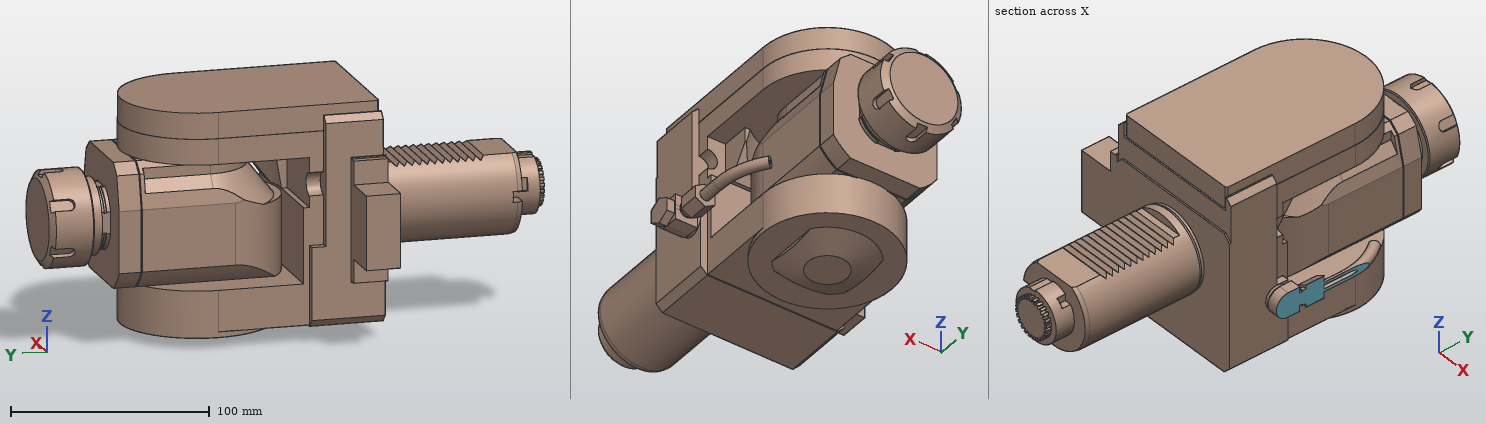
import cadquery as cq
import math


base_half_width = 44.3
base_chamfer = 4.0
base_bottom = -55.0
base_top = 54.4
cheek_chamfer = 3.4
step_z = -13.0
lower_base_y = 38.5
upper_base_y = 31.1
flange_top = 32.2
flange_thickness = 1.0

pivot_y = 86.0
fork_radius = 40.0
cap_top = 59.8
cap_bottom = 46.2
cap_front_y = 1.9
cap_inset = 0.2
cap_edge_chamfer = 1.0
arm_gap_half = 32.8
lower_arm_bottom = -54.4
disc_bottom = -57.4

wall_y = 41.5
rib_width = 29.0
rib_y = 55.5
rib_root_y = 43.6
hollow_top_radius = 40.0
hollow_low_radius = 44.5
channel_radius = 6.0
channel_z = 18.8

dome_bottom = -63.2
dome_radius = 28.0
dome_flat_radius = 12.0
dome_half_width = 22.5

spacer_x = -45.3
plate_x = -49.3
block_x = -72.0
plate_depth = 18.0
plate_half_height = 31.8
spacer_half_height = 32.5
block_half_height = 19.4

head_front_y = 135.8
head_half_width = 32.1
head_rear_y = 75.0
head_plate_y = 124.2
head_step_y = 121.5
head_seam_width = 0.5
head_seam_depth = 0.3
facet_low_z = 9.85
facet_top_x = 27.8
facet_top_z = 27.4
head_corner_radius = 39.2
hub_radius = 25.2
hub_shoulder_z = 24.0
skirt_radius = 38.8
ledge_z = 6.8

neck_radius = 17.5
neck_groove_radius = 16.8
neck_groove_y = 137.8
neck_flat_height = 16.0
neck_groove_width = 1.2
neck_y = 141.0
neck_flat_width = 11.4
neck_flat_count = 4
nut_collar_radius = 20.0
nut_back_y = 146.5
nut_front_y = 169.21
nut_radius = 25.0
nut_back_chamfer = 0.6
nut_nose_radius = 21.0
nut_nose_length = 2.6
nut_slot_count = 6
nut_slot_width = 6.0
nut_slot_length = 13.3
nut_slot_depth = 2.5

shank_radius = 25.0
shank_relief_radius = 48.7 / 2
shank_relief_end = 1.6
shank_full_start = 3.1
shank_end = 77.6
shank_end_chamfer = 2.6
flat_z = 20.2
flat_start = 8.0
tooth_root_z = 18.2
tooth_pitch = 4.0
tooth_count = 12
first_tooth = 11.9
key_half_width = 2.8
key_depth = 5.0

drive_radius = 15.8
drive_end = 89.4
drive_notch_depth = 1.5
drive_notch_length = 5.4
drive_side_notch_height = 9.0
drive_groove_left = -5.7
drive_groove_right = -0.8
drive_groove_depth = 1.0
drive_top_notch_x = 11.0
drive_top_notch_width = 4.6
spline_radius = 12.2
spline_root_radius = 10.7
spline_end = 92.7
spline_count = 24
spline_gap_width = 1.5

elbow_y = 31.0
elbow_z = -20.3
elbow_neck_diameter = 14.5
elbow_diameter = 15.6
elbow_neck_x = 46.5
elbow_end_x = 60.0
elbow_hex_x = 64.7
elbow_hex_flats = 13.6
elbow_top_y = 38.7
nozzle_x = 53.2
nozzle_collar_diameter = 9.8
nozzle_collar_length = 2.4
nozzle_neck_diameter = 8.2
nut_start_y = 42.7
nut_end_y = 54.7
pipe_nut_flats = 12.2
pipe_diameter = 6.37
pipe_bore = 2.1
pipe_straight_end_y = 66.6
pipe_bend_radius = 47.0
pipe_bend_angle = 39.0

overlap = 1.0


def box(x0, x1, y0, y1, z0, z1):
    """Axis-aligned box from its limits."""
    return cq.Workplane("XY").box(x1 - x0, y1 - y0, z1 - z0, centered=False).translate((x0, y0, z0))


def xz_plane(y, x=0.0, z=0.0):
    """Workplane facing +Y, centred on (x, y, z); its local axes are X and -Z."""
    return cq.Workplane(cq.Plane(origin=(x, y, z), xDir=(1, 0, 0), normal=(0, 1, 0)))


def rod_y(radius, y0, y1, x=0.0, z=0.0):
    """Cylinder parallel to Y."""
    return xz_plane(y0, x, z).circle(radius).extrude(y1 - y0)


def rod_x(radius, x0, x1, y, z):
    """Cylinder parallel to X."""
    return cq.Workplane("YZ", origin=(x0, y, z)).circle(radius).extrude(x1 - x0)


def round_plate(front_y, z0, z1, radius=fork_radius):
    """Fork arm: straight from front_y to the pivot, then a half circle about the pivot."""
    return (
        cq.Workplane("XY", origin=(0, 0, z0))
        .moveTo(-radius, front_y)
        .lineTo(-radius, pivot_y)
        .threePointArc((0, pivot_y + radius), (radius, pivot_y))
        .lineTo(radius, front_y)
        .close()
        .extrude(z1 - z0)
    )


def make_base():
    """Base block with its lower step, cheeks on both sides of the cap seat and the flange."""
    lower = box(-base_half_width, base_half_width, flange_thickness, lower_base_y, base_bottom, step_z)
    lower = lower.edges("|Y and <Z").chamfer(base_chamfer)
    upper = box(-base_half_width, base_half_width, flange_thickness, upper_base_y, step_z, base_top)
    upper = upper.edges("|Y and >Z").chamfer(cheek_chamfer)
    cap_seat = box(-fork_radius, fork_radius, flange_thickness, upper_base_y, cap_bottom, base_top)
    upper = upper.cut(cap_seat)
    flange = box(-base_half_width, base_half_width, 0, flange_thickness, base_bottom, flange_top)
    flange = flange.edges("|Y").chamfer(base_chamfer)
    return lower.union(upper).union(flange)


def make_fork():
    """Both fork arms, the cap, the web joining them, and the bearing disc and dome below."""
    upper_arm = round_plate(flange_thickness, arm_gap_half, cap_bottom)
    cap = round_plate(cap_front_y, cap_bottom, cap_top, fork_radius - cap_inset)
    cap = cap.edges("|Z and <Y").chamfer(cap_edge_chamfer)
    lower_arm = round_plate(upper_base_y, lower_arm_bottom, -arm_gap_half)
    disc_plane = cq.Plane(origin=(0, pivot_y, disc_bottom), xDir=(-1, 0, 0), normal=(0, 0, 1))
    disc = cq.Workplane(disc_plane).circle(fork_radius).extrude(lower_arm_bottom - disc_bottom)
    return upper_arm.union(cap).union(lower_arm).union(disc).union(make_dome()).union(make_web())


def make_web():
    """Web between the arms: a low wall, a slab with round side channels and a hollowed rib."""
    slab = box(-fork_radius, fork_radius, upper_base_y, lower_base_y, -arm_gap_half, arm_gap_half)
    for side in (-1, 1):
        channel = rod_y(channel_radius, upper_base_y, lower_base_y, side * fork_radius, channel_z)
        slab = slab.cut(channel)
    wall = box(-fork_radius, fork_radius, lower_base_y, wall_y, -arm_gap_half, ledge_z)
    rib = (
        cq.Workplane("YZ")
        .polyline([
            (lower_base_y, arm_gap_half), (rib_y, arm_gap_half), (rib_y, hub_shoulder_z),
            (rib_root_y, ledge_z), (lower_base_y, ledge_z),
        ])
        .close()
        .extrude(rib_width)
    )
    hollow = (
        cq.Workplane("XZ", origin=(0, pivot_y, 0))
        .polyline([
            (0, ledge_z), (hollow_low_radius, ledge_z),
            (hollow_top_radius, arm_gap_half), (0, arm_gap_half),
        ])
        .close()
        .revolve(360, (0, 0, 0), (0, 1, 0))
    )
    return slab.union(wall).union(rib.cut(hollow))


def make_dome():
    """Shallow cone under the bearing disc, trimmed flat on both sides and at the front."""
    cone = (
        cq.Workplane("XZ", origin=(0, pivot_y, 0))
        .polyline([
            (0, disc_bottom), (dome_radius, disc_bottom),
            (dome_flat_radius, dome_bottom), (0, dome_bottom),
        ])
        .close()
        .revolve(360, (0, 0, 0), (0, 1, 0))
    )
    trim = box(
        -dome_half_width, dome_half_width,
        pivot_y - dome_half_width, pivot_y + dome_radius,
        dome_bottom, disc_bottom,
    )
    return cone.intersect(trim)


def make_key_block():
    """Locating block with its backing plate and thin spacer on the -X side."""
    spacer = box(spacer_x, -base_half_width, 0, plate_depth, -spacer_half_height, spacer_half_height)
    plate = box(plate_x, spacer_x, 0, plate_depth, -plate_half_height, plate_half_height)
    block = box(block_x, plate_x, 0, plate_depth, -block_half_height, block_half_height)
    return spacer.union(plate).union(block)


def make_head_relief():
    """Material removed from the top of the head: a stepped round hub about the pivot that
    runs straight forward to the head plate."""
    reach = 2 * head_half_width
    section = [
        (hub_radius, arm_gap_half), (hub_radius, hub_shoulder_z), (skirt_radius, ledge_z),
        (reach, ledge_z), (reach, arm_gap_half),
    ]
    relief = (
        cq.Workplane("XZ", origin=(0, pivot_y, 0))
        .polyline(section)
        .close()
        .revolve(360, (0, 0, 0), (0, 1, 0))
        .intersect(box(-reach, reach, pivot_y - reach, pivot_y, ledge_z, arm_gap_half))
    )
    straight_length = head_step_y - pivot_y
    for side in (-1, 1):
        run = (
            cq.Workplane("XZ", origin=(0, head_step_y, 0))
            .polyline([(side * x, z) for x, z in section])
            .close()
            .extrude(straight_length)
        )
        relief = relief.union(run)
    return relief


def head_section(front_y):
    """Closed cross-section of the head at front_y: rounded below, faceted above."""
    corner_z = math.sqrt(head_corner_radius ** 2 - head_half_width ** 2)
    corner_x = math.sqrt(head_corner_radius ** 2 - arm_gap_half ** 2)
    arc_mid = head_corner_radius * math.sqrt(0.5)
    return (
        cq.Workplane("XZ", origin=(0, front_y, 0))
        .moveTo(-corner_x, -arm_gap_half)
        .lineTo(corner_x, -arm_gap_half)
        .threePointArc((arc_mid, -arc_mid), (head_half_width, -corner_z))
        .lineTo(head_half_width, facet_low_z)
        .lineTo(facet_top_x, facet_top_z)
        .lineTo(corner_x, arm_gap_half)
        .lineTo(-corner_x, arm_gap_half)
        .lineTo(-facet_top_x, facet_top_z)
        .lineTo(-head_half_width, facet_low_z)
        .lineTo(-head_half_width, -corner_z)
        .threePointArc((-arc_mid, -arc_mid), (-corner_x, -arm_gap_half))
        .close()
    )


def make_head():
    """Swivel head: faceted block with a half-round rear, relieved around the hub, and a
    fine seam groove behind the front plate."""
    rear_y = head_rear_y - head_half_width
    block = head_section(head_front_y).extrude(head_front_y - rear_y)
    outline = (
        cq.Workplane("XY", origin=(0, 0, -arm_gap_half))
        .moveTo(-head_half_width, head_front_y)
        .lineTo(-head_half_width, head_rear_y)
        .threePointArc((0, rear_y), (head_half_width, head_rear_y))
        .lineTo(head_half_width, head_front_y)
        .close()
        .extrude(2 * arm_gap_half)
    )
    seam_core = head_section(head_plate_y).offset2D(-head_seam_depth).extrude(head_seam_width)
    seam = head_section(head_plate_y).extrude(head_seam_width).cut(seam_core)
    return block.intersect(outline).cut(make_head_relief()).cut(seam)


def make_spindle():
    """Spindle neck with spanner flats and the slotted collet nut."""
    neck = rod_y(neck_radius, head_front_y - overlap, neck_y)
    groove_ring = xz_plane(neck_groove_y).circle(neck_radius).circle(neck_groove_radius)
    neck = neck.cut(groove_ring.extrude(neck_groove_width))
    for index in range(neck_flat_count):
        flat = box(
            -neck_flat_width / 2, neck_flat_width / 2, head_front_y, neck_y,
            neck_flat_height, neck_radius,
        )
        neck = neck.cut(flat.rotate((0, 0, 0), (0, 1, 0), index * 360 / neck_flat_count))

    nut = (
        cq.Workplane("XY")
        .polyline([
            (0, neck_y), (nut_collar_radius, neck_y), (nut_collar_radius, nut_back_y),
            (nut_radius - nut_back_chamfer, nut_back_y), (nut_radius, nut_back_y + nut_back_chamfer),
            (nut_radius, nut_front_y - nut_nose_length), (nut_nose_radius, nut_front_y),
            (0, nut_front_y),
        ])
        .close()
        .revolve(360, (0, 0, 0), (0, 1, 0))
    )
    slot_center_y = nut_front_y - nut_slot_length + nut_slot_width / 2
    slot_floor = nut_radius - nut_slot_depth
    slot = box(
        -nut_slot_width / 2, nut_slot_width / 2, slot_center_y, nut_front_y,
        slot_floor, nut_radius,
    )
    slot_end = (
        cq.Workplane("XY", origin=(0, slot_center_y, slot_floor))
        .circle(nut_slot_width / 2)
        .extrude(nut_slot_depth)
    )
    slot = slot.union(slot_end)
    for index in range(nut_slot_count):
        nut = nut.cut(slot.rotate((0, 0, 0), (0, 1, 0), index * 360 / nut_slot_count))
    return neck.union(nut)


def make_shank():
    """Cylindrical shank with a toothed flat on top and a keyway across the end face."""
    shank = (
        cq.Workplane("XY")
        .polyline([
            (0, overlap), (shank_relief_radius, overlap), (shank_relief_radius, -shank_relief_end),
            (shank_radius, -shank_full_start), (shank_radius, shank_end_chamfer - shank_end),
            (shank_relief_radius, -shank_end), (0, -shank_end),
        ])
        .close()
        .revolve(360, (0, 0, 0), (0, 1, 0))
    )
    shank = shank.cut(box(-shank_radius, shank_radius, -shank_end, -flat_start, flat_z, shank_radius))
    for index in range(tooth_count):
        tooth_y = -first_tooth - index * tooth_pitch
        gap = (
            cq.Workplane("YZ", origin=(-shank_radius, 0, 0))
            .polyline([
                (tooth_y, flat_z), (tooth_y - tooth_pitch / 2, tooth_root_z),
                (tooth_y - tooth_pitch, flat_z),
            ])
            .close()
            .extrude(2 * shank_radius)
        )
        shank = shank.cut(gap)
    keyway = box(
        -shank_radius, 0, -shank_end, key_depth - shank_end, -key_half_width, key_half_width,
    )
    return shank.cut(keyway)


def make_drive_end():
    """Drive collar with two notches and a groove, and the splined stub behind it."""
    collar = rod_y(drive_radius, -drive_end, -shank_end + key_depth + overlap)
    notch_floor = drive_radius - drive_notch_depth
    notch_end = -shank_end - drive_notch_length
    side_notch = box(
        -drive_radius, -notch_floor, notch_end, -shank_end, 0, drive_side_notch_height,
    )
    notch_x0 = drive_top_notch_x - drive_top_notch_width / 2
    notch_x1 = drive_top_notch_x + drive_top_notch_width / 2
    notch_z = math.sqrt(notch_floor ** 2 - drive_top_notch_x ** 2)
    top_notch = box(notch_x0, notch_x1, notch_end, -shank_end, notch_z, drive_radius)
    stub = rod_y(spline_radius, -spline_end, -drive_end)
    gap = box(
        -spline_gap_width / 2, spline_gap_width / 2, -spline_end, -drive_end,
        spline_root_radius, spline_radius + overlap,
    )
    for index in range(spline_count):
        stub = stub.cut(gap.rotate((0, 0, 0), (0, 1, 0), index * 360 / spline_count))
    groove = box(
        drive_groove_left, drive_groove_right, -drive_end, -shank_end,
        drive_radius - drive_groove_depth, drive_radius,
    )
    return collar.cut(side_notch).cut(top_notch).cut(groove).union(stub)


def make_coolant_pipe():
    """Elbow fitting, union nut and bent coolant pipe on the +X side."""
    neck = rod_x(elbow_neck_diameter / 2, base_half_width - overlap, elbow_neck_x, elbow_y, elbow_z)
    barrel = rod_x(elbow_diameter / 2, elbow_neck_x, elbow_end_x, elbow_y, elbow_z)
    half_height = elbow_diameter / 2
    shoulder = box(
        elbow_neck_x, elbow_end_x, elbow_y, elbow_top_y, elbow_z - half_height, elbow_z + half_height,
    )
    hex_corners = elbow_hex_flats / math.cos(math.pi / 6)
    hex_head = (
        cq.Workplane("YZ", origin=(elbow_end_x, elbow_y, elbow_z))
        .polygon(6, hex_corners)
        .extrude(elbow_hex_x - elbow_end_x)
        .rotate((0, elbow_y, elbow_z), (1, elbow_y, elbow_z), 90)
    )
    neck_rod = rod_y(nozzle_neck_diameter / 2, elbow_top_y - overlap, nut_start_y, nozzle_x, elbow_z)
    collar_start = nut_start_y - nozzle_collar_length
    collar = rod_y(nozzle_collar_diameter / 2, collar_start, nut_start_y, nozzle_x, elbow_z)
    union_nut = (
        xz_plane(nut_start_y, nozzle_x, elbow_z)
        .polygon(6, pipe_nut_flats / math.cos(math.pi / 6))
        .extrude(nut_end_y - nut_start_y)
        .rotate((nozzle_x, 0, elbow_z), (nozzle_x, 1, elbow_z), 90)
    )
    fitting = neck.union(barrel).union(shoulder).union(hex_head)
    fitting = fitting.union(neck_rod).union(collar).union(union_nut)

    def bent_rod(diameter):
        straight = rod_y(diameter / 2, nut_end_y, pipe_straight_end_y, nozzle_x, elbow_z)
        bend = (
            xz_plane(pipe_straight_end_y, nozzle_x, elbow_z)
            .circle(diameter / 2)
            .revolve(pipe_bend_angle, (-pipe_bend_radius, 1, 0), (-pipe_bend_radius, 0, 0))
        )
        return straight.union(bend)

    return fitting.union(bent_rod(pipe_diameter)).cut(bent_rod(pipe_bore))


result = make_base()
for component in (
    make_fork(), make_key_block(), make_head(), make_spindle(),
    make_shank(), make_drive_end(), make_coolant_pipe(),
):
    result = result.union(component)